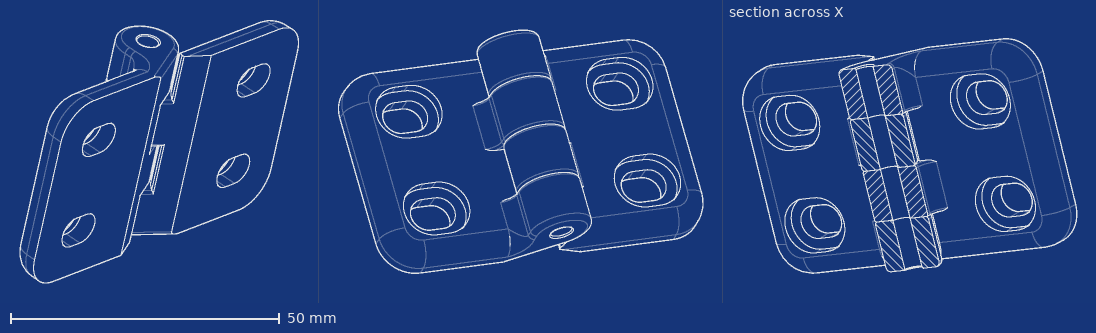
import cadquery as cq
import math


hinge_width = 65.0
hinge_height = 40.0
hinge_tilt = 15.62
half_width = hinge_width / 2
half_height = hinge_height / 2

leaf_thickness = 6.0
leaf_corner_radius = 7.0
leaf_edge_radius = 4.0
draft_angle = 1.5

barrel_radius = 6.0
axis_to_back = 10.0
knuckle_count = 4
knuckle_height = hinge_height / knuckle_count
web_root_radius = 2.5
barrel_end_radius = 1.0
joint_radius = 0.5
clearance_radius = 6.3
relief_angle = 26.0
tip_flat_start = (5.2, -3.5)
tip_crease = (7.05, -1.9)
bore_diameter = 4.1
bore_chamfer = 0.25

slot_spacing_across = 42.5
slot_spacing_along = 20.0
slot_travel = 2.5
slot_width = 6.3
counterbore_width = 10.5
counterbore_depth = 2.4

face_x = axis_to_back - leaf_thickness
root_y = -(barrel_radius + web_root_radius)
draft_slope = math.tan(math.radians(draft_angle))
mouth_z = half_height - axis_to_back * draft_slope
web_start_x = face_x - web_root_radius
relief_cos = math.cos(math.radians(relief_angle))
relief_sin = math.sin(math.radians(relief_angle))
tangent_point = (barrel_radius * relief_cos, barrel_radius * relief_sin)


def relief_y(x):
    """Y on the plane tangent to the barrel that slopes away behind it."""
    return (barrel_radius - x * relief_cos) / relief_sin


def round_end(solid, blend_edge, radius, blend_radius):
    """Round the edge chain through blend_edge, which grows to blend_radius at its far end."""
    maker = cq.occ_impl.shapes.BRepFilletAPI_MakeFillet(solid.wrapped)
    maker.Add(blend_edge.wrapped)
    chain_length = maker.NbEdges(1)
    for position in range(1, chain_length + 1):
        if not maker.Edge(1, position).IsSame(blend_edge.wrapped):
            maker.SetRadius(radius, 1, position)
        elif position == 1:
            maker.SetRadius(blend_radius, radius, 1, position)
        else:
            maker.SetRadius(radius, blend_radius, 1, position)
    return cq.Workplane(obj=cq.Shape.cast(maker.Shape()))


def block(size_x, size_y, size_z, corner):
    """A box placed by its lowest corner."""
    return cq.Workplane("XY").box(size_x, size_y, size_z, centered=False).translate(corner)


def make_knuckle(bottom):
    """One sharp-edged knuckle with the web that joins it to the leaf."""
    arc_reach = web_root_radius * math.sqrt(0.5)
    return (
        cq.Workplane("XY", origin=(0, 0, bottom))
        .moveTo(*tangent_point)
        .lineTo(axis_to_back, relief_y(axis_to_back))
        .lineTo(axis_to_back, root_y)
        .lineTo(face_x, root_y)
        .threePointArc((web_start_x + arc_reach, root_y + arc_reach), (web_start_x, -barrel_radius))
        .lineTo(0, -barrel_radius)
        .threePointArc((-barrel_radius, 0), tangent_point)
        .close()
        .extrude(knuckle_height)
    )


def web_arc(face):
    """The hollow arc on one end face of a knuckle."""
    curves = face.edges("not %LINE").vals()
    return min(curves, key=lambda edge: edge.Center().y)


def make_end_knuckle():
    """Knuckle at the top of the hinge, blended into the rounded top edge of the leaf."""
    knuckle = make_knuckle(half_height - knuckle_height)
    draft_length = axis_to_back + barrel_radius
    draft_drop = draft_length * draft_slope
    above_draft = (
        cq.Workplane("XZ", origin=(0, barrel_radius, 0))
        .moveTo(axis_to_back, half_height)
        .lineTo(-barrel_radius, half_height)
        .lineTo(-barrel_radius, half_height - draft_drop)
        .close()
        .extrude(barrel_radius - root_y)
    )
    knuckle = knuckle.cut(above_draft)
    knuckle = round_end(knuckle.val(), web_arc(knuckle.faces("<Z")), joint_radius, joint_radius)
    knuckle = round_end(
        knuckle.val(), web_arc(knuckle.faces(">Z")), barrel_end_radius, leaf_edge_radius
    )
    return knuckle


def make_middle_knuckle():
    """Knuckle held between two knuckles of the other leaf."""
    knuckle = make_knuckle(-knuckle_height)
    for end in ("<Z", ">Z"):
        knuckle = round_end(knuckle.val(), web_arc(knuckle.faces(end)), joint_radius, joint_radius)
    return knuckle


def make_barrel_clearance():
    """Space around the barrel, with the thin tip of the leaf blunted by two flats."""
    around = cq.Workplane("XY", origin=(0, 0, -half_height))
    barrel_space = around.circle(clearance_radius).extrude(hinge_height)
    tip_space = (
        around.moveTo(*tip_flat_start)
        .lineTo(*tip_crease)
        .lineTo(axis_to_back, tip_crease[1])
        .lineTo(axis_to_back, 0)
        .lineTo(tip_flat_start[0], 0)
        .close()
        .extrude(hinge_height)
    )
    return barrel_space.union(tip_space)


def make_plate():
    """Flat part of a leaf with rounded edges, cleared around the other leaf's knuckles."""
    rim = cq.Sketch().rect(hinge_height, hinge_width).vertices().fillet(leaf_corner_radius)
    plate = cq.Workplane("ZY", origin=(axis_to_back, 0, 0)).placeSketch(rim)
    plate = plate.extrude(leaf_thickness, taper=draft_angle)
    plate = plate.faces("<X").edges().fillet(leaf_edge_radius)
    behind_relief = (
        cq.Workplane("XY", origin=(0, 0, -half_height))
        .moveTo(axis_to_back, relief_y(axis_to_back))
        .lineTo(barrel_radius / relief_cos, 0)
        .lineTo(0, 0)
        .lineTo(0, half_width)
        .lineTo(axis_to_back, half_width)
        .close()
        .extrude(hinge_height)
    )
    plate = plate.cut(behind_relief)
    plate = plate.cut(make_barrel_clearance())
    blend_zone = block(
        leaf_thickness,
        half_width,
        leaf_edge_radius,
        (face_x, root_y, half_height - leaf_edge_radius),
    )
    return plate.cut(blend_zone)


def cut_screw_slots(leaf):
    """Two counterbored slots, long across the leaf."""
    centres = [(-slot_spacing_across / 2, side * slot_spacing_along / 2) for side in (-1, 1)]
    for width, depth in ((slot_width, leaf_thickness), (counterbore_width, counterbore_depth)):
        slots = (
            cq.Workplane("YZ", origin=(face_x, 0, 0))
            .pushPoints(centres)
            .slot2D(slot_travel + width, width)
            .extrude(depth)
        )
        leaf = leaf.cut(slots)
    return leaf


def cut_bore(leaf):
    """Pin bore along the whole hinge, chamfered at the open end."""
    bore_radius = bore_diameter / 2
    bore = cq.Workplane("XY").circle(bore_radius).extrude(half_height, both=True)
    countersink = (
        cq.Workplane("XZ")
        .moveTo(0, mouth_z + bore_chamfer)
        .lineTo(bore_radius + 2 * bore_chamfer, mouth_z + bore_chamfer)
        .lineTo(bore_radius, mouth_z - bore_chamfer)
        .lineTo(0, mouth_z - bore_chamfer)
        .close()
        .revolve(360, (0, 0, 0), (0, 1, 0))
    )
    return leaf.cut(bore).cut(countersink)


def make_leaf():
    """One leaf: plate, end knuckle and middle knuckle."""
    leaf = make_plate().union(make_end_knuckle()).union(make_middle_knuckle())
    return cut_screw_slots(cut_bore(leaf))


origin = (0, 0, 0)
x_axis = (1, 0, 0)
leaves = []
for half_turn in (0, 180):
    leaf = make_leaf().rotate(origin, x_axis, half_turn - hinge_tilt)
    leaves.append(leaf.val())

result = cq.Compound.makeCompound(leaves)